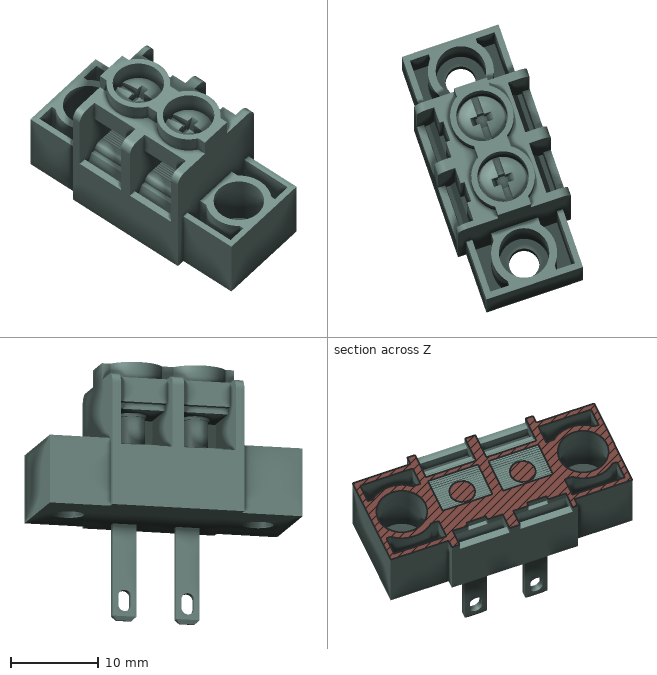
import cadquery as cq
import math


PITCH = 7.5
POLE_XS = [-PITCH / 2, PITCH / 2]
WING_HOLE_XS = [-1.5 * PITCH, 1.5 * PITCH]
OVERLAP = 0.15

TOTAL_LENGTH = 30.0
BODY_LENGTH = 15.65
BODY_DEPTH = 13.7
BODY_HEIGHT = 15.6
BODY_EDGE_RADIUS = 1.17
WING_DEPTH = 11.73
WING_HEIGHT = 7.98
FRONT_Y = -BODY_DEPTH / 2
BACK_Y = BODY_DEPTH / 2

TOWER_TOP = 17.58
TOWER_DIAMETER = 7.32
TOWER_BRIDGE_WIDTH = 4.0
SCREW_WELL_DIAMETER = 5.9

MOUNT_HOLE_DIAMETER = 3.5
MOUNT_COUNTERBORE_DIAMETER = 5.8
MOUNT_FLOOR = 1.5
WING_WALL = 0.72
WING_POCKET_FLOOR = 1.0
COLLAR_DIAMETER = 7.6
COLLAR_WIDTH = 5.7

ENTRY_WIDTH = 6.15
ENTRY_SILL = 7.15
FRONT_ENTRY_DEPTH = 2.65
BACK_ENTRY_EXTRA = 0.33
BACK_NOTCH_WIDTH = 2.37
BACK_NOTCH_DEPTH = 0.48

SILL_DEPTH = 0.87
TROUGH_START = 1.0
TROUGH_END = 1.5
TROUGH_RAMP_END = 2.1
BACK_ENTRY_DEPTH = TROUGH_RAMP_END
TROUGH_FLOOR = 5.9

CHAMBER_ROOF = 12.75
CHAMBER_FLOOR = 7.98
CHAMBER_BACK_Y = 2.4
NOSE_START = 2.67
NOSE_RADIUS = CHAMBER_FLOOR - ENTRY_SILL
SERRATION_PITCH = 0.3
SERRATION_DEPTH = 0.05
SERRATION_COUNT = 15
SERRATION_START_Y = -2.85
CLAMP_WIDTH = 6.0
CLAMP_THICKNESS = 0.72
CLAMP_FRONT = 3.42
SHAFT_DIAMETER = 3.0
SHAFT_COLLAR_DIAMETER = 3.3
SHAFT_COLLAR_HEIGHT = 0.35

HEAD_DIAMETER = 5.5
WELL_FLOOR = 14.25
HEAD_RIM = 15.27
HEAD_DOME = 0.55
HEAD_TOP = HEAD_RIM + HEAD_DOME
SLOT_WIDTH = 0.85
SLOT_FLOOR = HEAD_RIM - 0.6
RECESS_FLOOR = HEAD_RIM - 1.08
RECESS_ARM_WIDTH = 0.95
RECESS_TOP_LENGTH = 2.65
RECESS_FLOOR_LENGTH = 1.3

PIN_WIDTH = 2.75
PIN_THICKNESS = 0.8
PIN_LENGTH = 11.3
PIN_Y = 3.75
PIN_TIP_HEIGHT = 0.48
PIN_TIP_SIDE = 0.48
PIN_TIP_FACE = 0.25
PIN_EYE_WIDTH = 1.5
PIN_EYE_LENGTH = 2.5
PIN_EYE_Z = -8.97


def block(x0, x1, y0, y1, z0, z1):
    return cq.Workplane("XY").box(x1 - x0, y1 - y0, z1 - z0, centered=False).translate((x0, y0, z0))


def cylinder(x, y, diameter, z0, z1):
    return cq.Workplane("XY", origin=(x, y, z0)).circle(diameter / 2).extrude(z1 - z0)


def housing():
    body = cq.Workplane("XY").box(BODY_LENGTH, BODY_DEPTH, BODY_HEIGHT, centered=(True, True, False))
    body = body.edges("|X and >Z").fillet(BODY_EDGE_RADIUS)
    half_bridge = TOWER_BRIDGE_WIDTH / 2
    bridge_bottom = BODY_HEIGHT - OVERLAP
    body = body.union(
        block(-BODY_LENGTH / 2, BODY_LENGTH / 2, -half_bridge, half_bridge, bridge_bottom, TOWER_TOP)
    )
    for x in POLE_XS:
        body = body.union(cylinder(x, 0, TOWER_DIAMETER, bridge_bottom, TOWER_TOP))
    return body


def right_wing():
    x0 = BODY_LENGTH / 2
    x1 = TOTAL_LENGTH / 2
    hole_x = WING_HOLE_XS[1]
    half_depth = WING_DEPTH / 2
    wing = block(x0 - OVERLAP, x1, -half_depth, half_depth, 0, WING_HEIGHT)
    inner_y = half_depth - WING_WALL
    pocket = block(x0, x1 - WING_WALL, -inner_y, inner_y, WING_POCKET_FLOOR, WING_HEIGHT)
    half_collar = COLLAR_WIDTH / 2
    pocket = pocket.cut(block(x0, x1, -half_collar, half_collar, 0, WING_HEIGHT))
    pocket = pocket.cut(cylinder(hole_x, 0, COLLAR_DIAMETER, 0, WING_HEIGHT))
    wing = wing.cut(pocket)
    wing = wing.cut(cylinder(hole_x, 0, MOUNT_HOLE_DIAMETER, 0, WING_HEIGHT))
    return wing.cut(cylinder(hole_x, 0, MOUNT_COUNTERBORE_DIAMETER, MOUNT_FLOOR, WING_HEIGHT))


def floor_points(face_y, inward):
    """Sill, trough and ramp of an entry floor; inward is +1 from the front face, -1 from the back."""
    steps = [
        (0, ENTRY_SILL),
        (SILL_DEPTH, ENTRY_SILL),
        (TROUGH_START, TROUGH_FLOOR),
        (TROUGH_END, TROUGH_FLOOR),
        (TROUGH_RAMP_END, ENTRY_SILL),
    ]
    return [(face_y + inward * depth, z) for depth, z in steps]


def front_entry(x):
    """Open wire entry, its floor trough and the clamp chamber behind it."""
    nose_start_y = FRONT_Y + NOSE_START
    nose_end_y = nose_start_y + NOSE_RADIUS
    arc_offset = NOSE_RADIUS * math.sqrt(0.5)
    nose_middle = (nose_end_y - arc_offset, ENTRY_SILL + arc_offset)
    profile = (
        cq.Workplane("YZ", origin=(x - ENTRY_WIDTH / 2, 0, 0))
        .polyline(floor_points(FRONT_Y, 1))
        .lineTo(nose_start_y, ENTRY_SILL)
        .threePointArc(nose_middle, (nose_end_y, CHAMBER_FLOOR))
        .lineTo(SERRATION_START_Y, CHAMBER_FLOOR)
    )
    for i in range(SERRATION_COUNT):
        groove_y = SERRATION_START_Y + i * SERRATION_PITCH
        profile = profile.lineTo(groove_y + SERRATION_PITCH / 2, CHAMBER_FLOOR - SERRATION_DEPTH)
        profile = profile.lineTo(groove_y + SERRATION_PITCH, CHAMBER_FLOOR)
    return (
        profile.lineTo(CHAMBER_BACK_Y, CHAMBER_FLOOR)
        .lineTo(CHAMBER_BACK_Y, CHAMBER_ROOF)
        .lineTo(FRONT_Y + FRONT_ENTRY_DEPTH, CHAMBER_ROOF)
        .lineTo(FRONT_Y + FRONT_ENTRY_DEPTH, BODY_HEIGHT)
        .lineTo(FRONT_Y, BODY_HEIGHT)
        .close()
        .extrude(ENTRY_WIDTH)
    )


def back_entry(x, extra_width):
    """Open wire entry at the back, with a shallow notch in its inner wall."""
    x0 = x - ENTRY_WIDTH / 2 - extra_width
    inner_y = BACK_Y - BACK_ENTRY_DEPTH
    entry = (
        cq.Workplane("YZ", origin=(x0, 0, 0))
        .polyline(floor_points(BACK_Y, -1))
        .lineTo(inner_y, BODY_HEIGHT)
        .lineTo(BACK_Y, BODY_HEIGHT)
        .close()
        .extrude(ENTRY_WIDTH + extra_width)
    )
    half_notch = BACK_NOTCH_WIDTH / 2
    notch_y = inner_y - BACK_NOTCH_DEPTH
    notch = block(x - half_notch, x + half_notch, notch_y, inner_y, ENTRY_SILL, BODY_HEIGHT)
    return entry.union(notch)


def clamp(x):
    """Clamp plate under the chamber roof and the screw shaft below it."""
    plate_bottom = CHAMBER_ROOF - CLAMP_THICKNESS
    collar_bottom = plate_bottom - SHAFT_COLLAR_HEIGHT
    half_width = CLAMP_WIDTH / 2
    plate = block(
        x - half_width, x + half_width, FRONT_Y + CLAMP_FRONT, CHAMBER_BACK_Y, plate_bottom, CHAMBER_ROOF
    )
    shaft = cylinder(x, 0, SHAFT_DIAMETER, ENTRY_SILL, plate_bottom)
    collar = cylinder(x, 0, SHAFT_COLLAR_DIAMETER, collar_bottom, plate_bottom)
    return plate.union(shaft).union(collar)


def recess_arm(angle, arm_width):
    """One bar of the cross recess, tapering in length towards its floor."""
    return (
        cq.Workplane("XZ", origin=(0, arm_width / 2, 0))
        .moveTo(-RECESS_FLOOR_LENGTH / 2, RECESS_FLOOR)
        .lineTo(RECESS_FLOOR_LENGTH / 2, RECESS_FLOOR)
        .lineTo(RECESS_TOP_LENGTH / 2, HEAD_TOP)
        .lineTo(-RECESS_TOP_LENGTH / 2, HEAD_TOP)
        .close()
        .extrude(arm_width)
        .rotate((0, 0, 0), (0, 0, 1), angle)
    )


def screw_well(x):
    """Space above the domed, slotted screw head, down to the head itself."""
    radius = HEAD_DIAMETER / 2
    dome_radius = (radius**2 + HEAD_DOME**2) / (2 * HEAD_DOME)
    head = cq.Workplane("XY").sphere(dome_radius).translate((0, 0, HEAD_TOP - dome_radius))
    head = head.intersect(cylinder(0, 0, HEAD_DIAMETER, WELL_FLOOR, HEAD_TOP))
    well = cylinder(0, 0, SCREW_WELL_DIAMETER, WELL_FLOOR, TOWER_TOP).cut(head)
    half_slot = SLOT_WIDTH / 2
    slot = block(-radius, radius, -half_slot, half_slot, SLOT_FLOOR, HEAD_TOP)
    slot = slot.intersect(cylinder(0, 0, HEAD_DIAMETER, SLOT_FLOOR, HEAD_TOP))
    well = well.union(slot).union(recess_arm(0, SLOT_WIDTH)).union(recess_arm(90, RECESS_ARM_WIDTH))
    return well.translate((x, 0, 0))


def pin(x):
    half_width = PIN_WIDTH / 2
    half_thickness = PIN_THICKNESS / 2
    tip_top = PIN_TIP_HEIGHT - PIN_LENGTH
    blade = block(-half_width, half_width, -half_thickness, half_thickness, tip_top, OVERLAP)
    tip = (
        cq.Workplane("XY", origin=(0, 0, tip_top))
        .rect(PIN_WIDTH, PIN_THICKNESS)
        .workplane(offset=-PIN_TIP_HEIGHT)
        .rect(PIN_WIDTH - 2 * PIN_TIP_SIDE, PIN_THICKNESS - 2 * PIN_TIP_FACE)
        .loft()
    )
    eye = (
        cq.Workplane("XZ", origin=(0, 0, PIN_EYE_Z))
        .slot2D(PIN_EYE_LENGTH, PIN_EYE_WIDTH, 90)
        .extrude(PIN_THICKNESS, both=True)
    )
    return blade.union(tip).cut(eye).translate((x, PIN_Y, 0))


wing = right_wing()
result = housing().union(wing).union(wing.mirror("YZ"))
for pole_x in POLE_XS:
    extra = BACK_ENTRY_EXTRA if pole_x == POLE_XS[0] else 0
    result = result.cut(front_entry(pole_x)).cut(back_entry(pole_x, extra))
    result = result.cut(screw_well(pole_x))
    result = result.union(clamp(pole_x)).union(pin(pole_x))